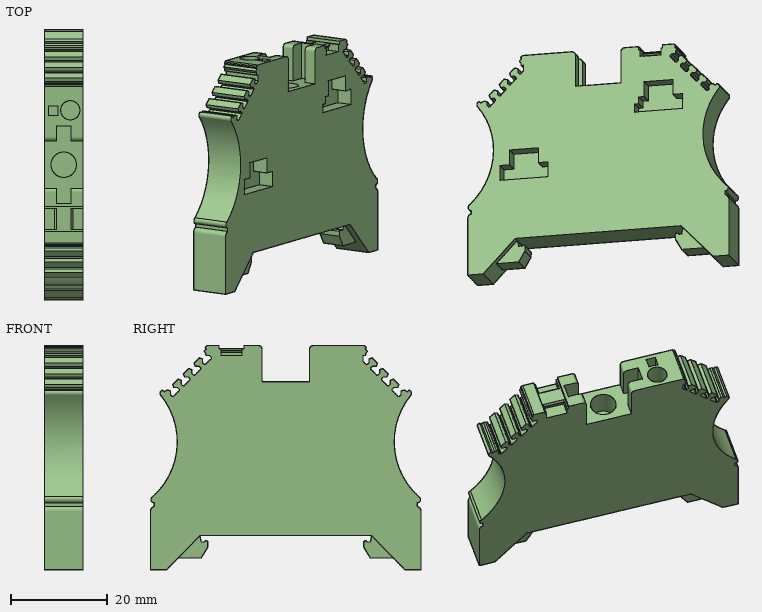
import cadquery as cq

thickness = 8.0
length = 56.1
height = 46.5
half_length = length / 2
near_face = -thickness / 2

foot_toe_y = 24.7
foot_wall_z = 12.25
foot_round_middle = (27.7, 12.9)
rail_half_width = 17.8
rail_roof_z = 7.1

groove_floor_y = 27.25
groove_z_min = 13.2
groove_z_max = 13.9
flank_lobe_middle = (27.95, 14.5)
flank_arc_start = (27.55, 15.2)
flank_arc_middle = (22.5, 26.55)
flank_arc_end = (25.9, 36.2)
shoulder_lobe_middle = (26.05, 36.8)
shoulder_lobe_end = (25.5, 37.25)

groove_count = 4
groove_row_shift = 6.6
groove_pitch = groove_row_shift / (groove_count - 1)
first_groove = (22.65, 36.6)
groove_lip = 1.2
floor_reach = 0.6
wall_start = 0.5
corner_cut = 0.35
tooth_tip = [(0.8, 1.85), (-0.35, 3.0)]

slot_half_width = 4.9
slot_floor_z = 39.0
slot_corner_radius = 0.85
guide_width = 3.05
guide_half_length = 8.0

hole_depth = 5.6
screw_hole_diameter = 5.3
test_hole_diameter = 4.0
test_hole_center = (1.35, 11.3)
test_square = 1.95
test_square_center = (-2.15, 11.2)

seat_y_min = -13.8
seat_y_max = -8.7
seat_floor_z = 45.85
seat_ledge = 0.35
seat_pocket_z = 44.4
rib_neck_half = 1.5
rib_head_half = 1.9
rib_head_z = 45.45
rib_neck_top_z = 45.05

window_depth = 3.3
window_width = 10.3
window_head_width = 6.15
window_step_height = 3.2
lower_window_center_y = 15.95
lower_window_floor_z = 19.9
upper_window_center_y = -12.95
upper_window_floor_z = 32.4
upper_window_corner = 0.9
upper_window_corner_z = 34.15

claw_inset = 1.55
claw_root_y = 22.25
claw_bottom_z = 2.45


def block(x_range, y_range, z_range):
    """Rectangular block given by its limits on each axis."""
    size = [limits[1] - limits[0] for limits in (x_range, y_range, z_range)]
    corner = (x_range[0], y_range[0], z_range[0])
    return cq.Workplane("XY").box(*size, centered=False).translate(corner)


def mirrored_pair(half):
    """The solid joined with its mirror image across the XZ plane."""
    return half.union(half.mirror("XZ"))


def groove_points(index):
    """Undercut groove, followed by the pointed tooth above it."""
    middle_y = first_groove[0] - index * groove_pitch
    middle_z = first_groove[1] + index * groove_pitch
    offsets = [
        (groove_lip, wall_start),
        (groove_lip, corner_cut - floor_reach),
        (groove_lip - corner_cut, -floor_reach),
        (floor_reach, -floor_reach),
        (-floor_reach, floor_reach),
        (-floor_reach, groove_lip - corner_cut),
        (corner_cut - floor_reach, groove_lip),
        (wall_start, groove_lip),
    ]
    if index < groove_count - 1:
        offsets += tooth_tip
    return [(middle_y + dy, middle_z + dz) for dy, dz in offsets]


def half_body():
    """Half of the housing, from the middle plane out to +Y."""
    crown_lobe = [(16.6, 44.9), (16.95, 45.35), (16.45, 45.8), (16.7, 46.05), (16.55, 46.3), (16.2, height)]
    shoulder = [(25.15, 36.9), (24.75, 37.25), (24.3, 37.25)]
    for index in range(groove_count):
        shoulder += groove_points(index)
    shoulder += crown_lobe
    outline = (
        cq.Workplane("YZ", origin=(near_face, 0, 0))
        .moveTo(0, rail_roof_z)
        .lineTo(rail_half_width, rail_roof_z)
        .lineTo(foot_toe_y, 0)
        .lineTo(half_length, 0)
        .lineTo(half_length, foot_wall_z)
        .threePointArc(foot_round_middle, (groove_floor_y, groove_z_min))
        .lineTo(groove_floor_y, groove_z_max)
        .threePointArc(flank_lobe_middle, flank_arc_start)
        .threePointArc(flank_arc_middle, flank_arc_end)
        .threePointArc(shoulder_lobe_middle, shoulder_lobe_end)
    )
    for point in shoulder + [(0, height)]:
        outline = outline.lineTo(*point)
    return outline.close().extrude(thickness)


def groove_backing():
    """Upright back wall of the top groove on the +Y shoulder."""
    middle_y = first_groove[0] - groove_row_shift
    middle_z = first_groove[1] + groove_row_shift
    return block(
        (near_face, -near_face),
        (middle_y - 2 * floor_reach, middle_y),
        (middle_z, middle_z + groove_lip),
    )


def claw():
    """Hook below the rail opening, narrower than the housing."""
    outline = [
        (claw_root_y, claw_bottom_z), (17.5, claw_bottom_z), (17.2, 2.9), (16.15, 4.7),
        (16.1, 5.8), (16.3, 6.05), (16.65, 6.05), (16.9, 5.85), (17.5, 5.85),
        (rail_half_width, rail_roof_z), (claw_root_y, rail_roof_z),
    ]
    sketch = cq.Workplane("YZ", origin=(near_face + claw_inset, 0, 0)).polyline(outline).close()
    return sketch.extrude(thickness - 2 * claw_inset)


def central_slot():
    """Slot across the top, with a narrower screwdriver guide at each end."""
    guide = block(
        (-guide_width / 2, guide_width / 2),
        (-guide_half_length, guide_half_length),
        (slot_floor_z, height),
    )
    half_slot = (
        cq.Workplane("YZ", origin=(near_face, 0, 0))
        .moveTo(0, slot_floor_z)
        .lineTo(slot_half_width, slot_floor_z)
        .lineTo(slot_half_width, height - slot_corner_radius)
        .radiusArc((slot_half_width + slot_corner_radius, height), slot_corner_radius)
        .lineTo(0, height)
        .close()
        .extrude(thickness)
    )
    return mirrored_pair(half_slot).union(guide)


def top_openings():
    """Screw hole in the slot floor, round and square test openings in the top."""
    screw_hole = (
        cq.Workplane("XY", origin=(0, 0, slot_floor_z)).circle(screw_hole_diameter / 2).extrude(-hole_depth)
    )
    top = cq.Workplane("XY", origin=(0, 0, height))
    test_hole = top.center(*test_hole_center).circle(test_hole_diameter / 2).extrude(-hole_depth)
    square_hole = top.center(*test_square_center).rect(test_square, test_square).extrude(-hole_depth)
    return screw_hole.union(test_hole).union(square_hole)


def marker_seat():
    """Shallow notch with a deeper pocket that leaves a mushroom-shaped rib in the middle."""
    full_width = (near_face, -near_face)
    notch = block(full_width, (seat_y_min, seat_y_max), (seat_floor_z, height))
    pocket_y = (seat_y_min + seat_ledge, seat_y_max - seat_ledge)
    pocket = block(full_width, pocket_y, (seat_pocket_z, seat_floor_z))
    rib_side = [
        (rib_neck_half, seat_pocket_z),
        (rib_neck_half, rib_neck_top_z),
        (rib_head_half, rib_head_z),
        (rib_neck_half, seat_floor_z),
    ]
    rib_outline = rib_side + [(-x, z) for x, z in reversed(rib_side)]
    rib = (
        cq.Workplane("XZ", origin=(0, pocket_y[1], 0))
        .polyline(rib_outline)
        .close()
        .extrude(pocket_y[1] - pocket_y[0])
    )
    return notch.union(pocket.cut(rib))


def stepped_window(center_y, floor_z):
    """Blind window in the near side: a wide lower part with a narrower head above."""
    depth_range = (near_face, near_face + window_depth)
    shoulder_z = floor_z + window_step_height
    wide_y = (center_y - window_width / 2, center_y + window_width / 2)
    head_y = (center_y - window_head_width / 2, center_y + window_head_width / 2)
    wide = block(depth_range, wide_y, (floor_z, shoulder_z))
    head = block(depth_range, head_y, (shoulder_z, shoulder_z + window_step_height))
    return wide.union(head)


def side_windows():
    """Two windows in the near side; the upper one has its +Y shoulder corner filled."""
    lower = stepped_window(lower_window_center_y, lower_window_floor_z)
    upper = stepped_window(upper_window_center_y, upper_window_floor_z)
    upper_end_y = upper_window_center_y + window_width / 2
    filled_corner = block(
        (near_face, near_face + window_depth),
        (upper_end_y - upper_window_corner, upper_end_y),
        (upper_window_corner_z, upper_window_floor_z + window_step_height),
    )
    return lower.union(upper.cut(filled_corner))


body = mirrored_pair(half_body().union(claw())).union(groove_backing())
result = body.cut(central_slot()).cut(top_openings()).cut(marker_seat()).cut(side_windows())